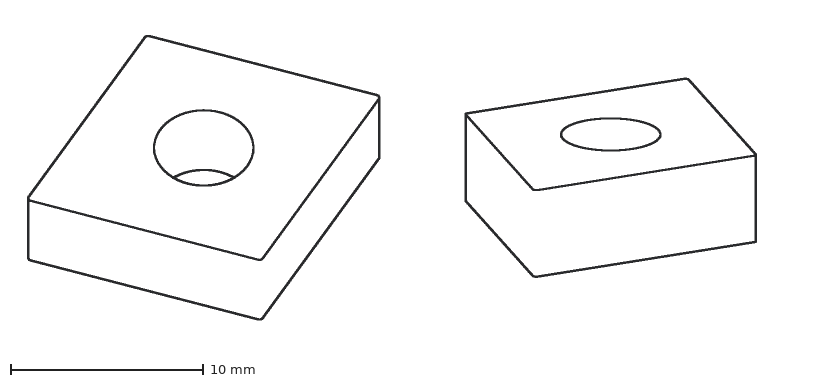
import cadquery as cq
import math

overall_length = 15.06
thickness = 4.76
hole_diameter = 5.17
corner_radius = 0.2
acute_angle = math.radians(80)

corner_trim = corner_radius * (1 / math.tan(acute_angle / 2) - 1)
sharp_length = overall_length + 2 * corner_trim

side = sharp_length / (1 + math.cos(acute_angle))
width = side * math.sin(acute_angle)
lean = side * math.cos(acute_angle)

outline = [
    (-sharp_length / 2, -width / 2),
    (sharp_length / 2 - lean, -width / 2),
    (sharp_length / 2, width / 2),
    (-sharp_length / 2 + lean, width / 2),
]
body = (
    cq.Workplane("XY")
    .polyline(outline)
    .close()
    .extrude(thickness)
    .edges("|Z")
    .fillet(corner_radius)
)

result = body.faces(">Z").workplane(origin=(0, 0, thickness)).hole(hole_diameter)